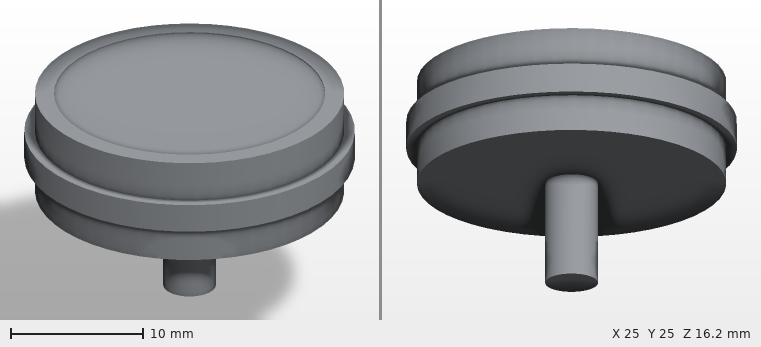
import cadquery as cq

flange_diameter = 25
body_diameter = 23.4
recess_diameter = 20.5
stem_diameter = 4

stem_length = 8
lower_body_height = 2.8
flange_thickness = 2.25
upper_body_height = 3.15
recess_depth = 0.1

body_bottom = stem_length
flange_bottom = body_bottom + lower_body_height
body_height = lower_body_height + flange_thickness + upper_body_height
body_top = body_bottom + body_height


def disc(diameter, bottom, height):
    """Upright cylinder centred on the Z axis."""
    return cq.Workplane("XY").workplane(offset=bottom).circle(diameter / 2).extrude(height)


stem = disc(stem_diameter, 0, stem_length)
body = disc(body_diameter, body_bottom, body_height)
flange = disc(flange_diameter, flange_bottom, flange_thickness)

recess = disc(recess_diameter, body_top - recess_depth, recess_depth)

result = body.union(flange).union(stem).cut(recess)